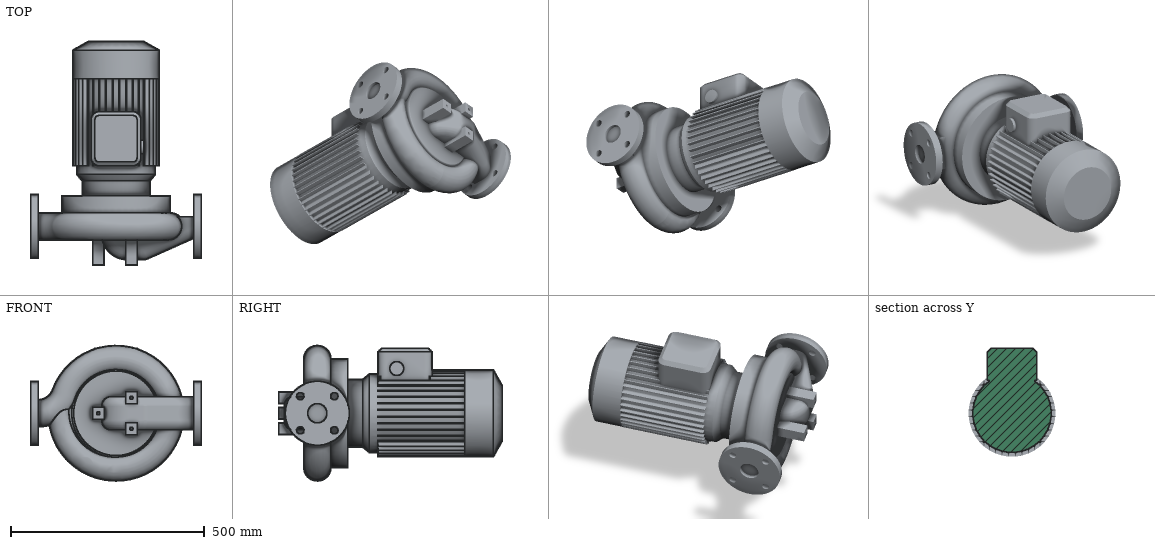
import cadquery as cq
import math


overall_length = 577

flange_span = 440.0
flange_thickness = 19.5
flange_radius = 82.5
bore_radius = 25.0
bore_depth = 10.0
bolt_circle_radius = 62.5
bolt_hole_radius = 9.0
bolt_count = 4
flange_inner_x = flange_span / 2 - flange_thickness

volute_radius = 139.5
tube_radius = 35.0
tongue_tube_radius = 30.5
tongue_start_angle = -85
tongue_end_angle = -195

cover_face_y = -27.0
cover_radius = 114.0
cover_chamfer = 5.0
rim_radius = 127
casing_radius = 140.0
casing_back_y = 78.5
neck_radius = 87.5
neck_back_y = 117.5
core_radius = 101.5
core_front_y = 134.5
fin_front_y = 156.5
cowl_radius = 112.0
cowl_front_y = 380.0
cowl_taper_y = 454.0
cowl_back_radius = 71.0

fin_tip_radius = 112.0
fin_thickness = 2.5
fin_depth = 26.0
fin_pitch_angle = 9
fins_per_group = 10
fin_group_count = 4

box_width = 128.0
box_length = 139.5
box_bottom_z = 84.0
box_top_z = 168.0
box_corner_radius = 20.0
box_chamfer = 10.0
gland_radius = 18.0
gland_length = 7.5
gland_y = 205.0
gland_z = 115.5

suction_height = 86.0
suction_edge_radius = 25.0
suction_bend_radius = 25.5
suction_back_y = 25.5
suction_front_y = -86.0
suction_left_x = -37.5
suction_elbow_radius = 67.5
suction_bend_x = 70.5
suction_slope = 24

foot_length = 72.5
foot_front_y = cover_face_y - foot_length
foot_width = 30.0
foot_hole_radius = 4.0
foot_hole_depth = 15.0
foot_centers = [(-45.5, 0), (40.0, 40.0), (40.0, -40.0)]


def front_plane(y):
    """Plane across the shaft at station y: local x is X, local y is Z, the normal is -Y."""
    return cq.Workplane("XZ", origin=(0, y, 0))


def on_circle(radius, angle):
    """Point (X, Z) at an angle about the shaft axis."""
    turn = math.radians(angle)
    return (radius * math.cos(turn), radius * math.sin(turn))


def shaft_body():
    """Cover, casing, neck, motor core and fan cowl turned about the shaft axis."""
    cowl_back_y = foot_front_y + overall_length
    rim_y = cover_face_y + cover_chamfer
    return (
        cq.Workplane("XY")
        .moveTo(0, cover_face_y)
        .lineTo(cover_radius - cover_chamfer, cover_face_y)
        .lineTo(cover_radius, rim_y)
        .lineTo(rim_radius, rim_y)
        .lineTo(rim_radius, 0)
        .lineTo(casing_radius, 0)
        .lineTo(casing_radius, casing_back_y)
        .lineTo(neck_radius, casing_back_y)
        .lineTo(neck_radius, neck_back_y)
        .lineTo(core_radius, core_front_y)
        .lineTo(core_radius, cowl_front_y)
        .lineTo(cowl_radius, cowl_front_y)
        .lineTo(cowl_radius, cowl_taper_y)
        .lineTo(cowl_back_radius, cowl_back_y)
        .lineTo(0, cowl_back_y)
        .close()
        .revolve(360, (0, 0, 0), (0, 1, 0))
    )


def fins():
    """Plates in four groups; their tips are evenly spaced round the tip circle."""
    length = cowl_front_y - fin_front_y
    group = cq.Workplane("XY")
    for index in range(fins_per_group):
        angle = (index - (fins_per_group - 1) / 2) * fin_pitch_angle
        tip_x, fin_z = on_circle(fin_tip_radius, angle)
        plate = (
            cq.Workplane("XY")
            .box(fin_depth, length, fin_thickness, centered=(False, False, True))
            .translate((tip_x - fin_depth, fin_front_y, fin_z))
        )
        group = group.add(plate)
    all_fins = cq.Workplane("XY")
    for turn in range(fin_group_count):
        angle = turn * 360 / fin_group_count
        all_fins = all_fins.add(group.rotate((0, 0, 0), (0, 1, 0), angle))
    return all_fins


def terminal_box():
    """Box with rounded upright corners and a chamfered lid, and the cable gland on its +X side."""
    box = (
        cq.Workplane("XY", origin=(0, fin_front_y + box_length / 2, box_bottom_z))
        .rect(box_width, box_length)
        .extrude(box_top_z - box_bottom_z)
        .edges("|Z")
        .fillet(box_corner_radius)
        .faces(">Z")
        .chamfer(box_chamfer)
    )
    gland = (
        cq.Workplane("YZ", origin=(0, gland_y, gland_z))
        .circle(gland_radius)
        .extrude(box_width / 2 + gland_length)
    )
    return box.union(gland)


def volute():
    """Main scroll, narrowing tongue, and the outlet bend that runs into the -X flange."""
    bend_radius = (flange_inner_x**2 - volute_radius**2) / (2 * volute_radius)
    join_angle = 180 - math.degrees(math.atan2(bend_radius, flange_inner_x))

    scroll = (
        cq.Workplane("XY")
        .center(volute_radius, 0)
        .circle(tube_radius)
        .revolve(join_angle - tongue_start_angle, (-volute_radius, 0, 0), (-volute_radius, 1, 0))
        .rotate((0, 0, 0), (0, 1, 0), -join_angle)
    )

    outlet = (
        cq.Workplane("YZ", origin=(-flange_inner_x, 0, 0))
        .circle(tube_radius)
        .revolve(join_angle - 90, (0, bend_radius, 0), (-1, bend_radius, 0))
    )

    tongue_end_radius = volute_radius + tube_radius - tongue_tube_radius
    middle_radius = (volute_radius + tongue_end_radius) / 2
    middle_angle = (tongue_start_angle + tongue_end_angle) / 2
    start = on_circle(volute_radius, tongue_start_angle)
    end = on_circle(tongue_end_radius, tongue_end_angle)
    path = (
        cq.Workplane("XZ")
        .moveTo(*start)
        .threePointArc(on_circle(middle_radius, middle_angle), end)
    )
    sections = []
    for (x, z), angle, radius in [
        (start, tongue_start_angle, tube_radius),
        (end, tongue_end_angle, tongue_tube_radius),
    ]:
        along_x, along_z = on_circle(1, angle - 90)
        across = cq.Plane((x, 0, z), xDir=(0, 1, 0), normal=(along_x, 0, along_z))
        sections.append(cq.Workplane(across).circle(radius).wires().val())
    tongue = cq.Solid.sweep_multi(sections, path.val())
    return scroll.union(outlet).union(cq.Workplane(tongue))


def suction_pipe():
    """Duct outline in the XY plane, extruded both ways along Z, with its front edges rounded."""
    slope = math.radians(suction_slope)
    bend_y = suction_front_y + suction_bend_radius
    slant_start = (
        suction_bend_x + suction_bend_radius * math.sin(slope),
        bend_y - suction_bend_radius * math.cos(slope),
    )
    slant_end_y = slant_start[1] + (flange_inner_x - slant_start[0]) * math.tan(slope)
    elbow_end_y = suction_front_y + suction_elbow_radius
    clearance = 6
    front_edges = cq.selectors.BoxSelector(
        (suction_left_x - clearance, suction_front_y - clearance, -suction_height),
        (flange_inner_x - clearance, 0, suction_height),
    )
    return (
        cq.Workplane("XY", origin=(0, 0, -suction_height / 2))
        .moveTo(suction_left_x, elbow_end_y)
        .radiusArc((suction_left_x + suction_elbow_radius, suction_front_y), -suction_elbow_radius)
        .lineTo(suction_bend_x, suction_front_y)
        .radiusArc(slant_start, -suction_bend_radius)
        .lineTo(flange_inner_x, slant_end_y)
        .lineTo(flange_inner_x, suction_back_y)
        .lineTo(suction_left_x, suction_back_y)
        .close()
        .extrude(suction_height)
        .faces("|Z")
        .edges(front_edges)
        .fillet(suction_edge_radius)
    )


def foot(x, z):
    """Square post from the cover with a blind hole in its end."""
    post = front_plane(cover_face_y + cover_chamfer).center(x, z).rect(foot_width, foot_width)
    post = post.extrude(cover_face_y + cover_chamfer - foot_front_y)
    hole = front_plane(foot_front_y + foot_hole_depth).center(x, z).circle(foot_hole_radius)
    return post.cut(hole.extrude(foot_hole_depth))


def flange(side):
    """Round flange with its outer face at the given X side (-1 or 1)."""
    inner = cq.Workplane("YZ", origin=(side * flange_inner_x, 0, 0))
    disc = inner.circle(flange_radius).extrude(side * flange_thickness)
    holes = inner.polarArray(bolt_circle_radius, 360 / bolt_count / 2, 360, bolt_count)
    holes = holes.circle(bolt_hole_radius).extrude(side * flange_thickness)
    bore_floor = cq.Workplane("YZ", origin=(side * (flange_span / 2 - bore_depth), 0, 0))
    bore = bore_floor.circle(bore_radius).extrude(side * bore_depth)
    return disc.cut(holes).cut(bore)


result = shaft_body().union(volute()).union(fins()).union(terminal_box()).union(suction_pipe())
for foot_x, foot_z in foot_centers:
    result = result.union(foot(foot_x, foot_z))
for flange_side in (-1, 1):
    result = result.union(flange(flange_side))